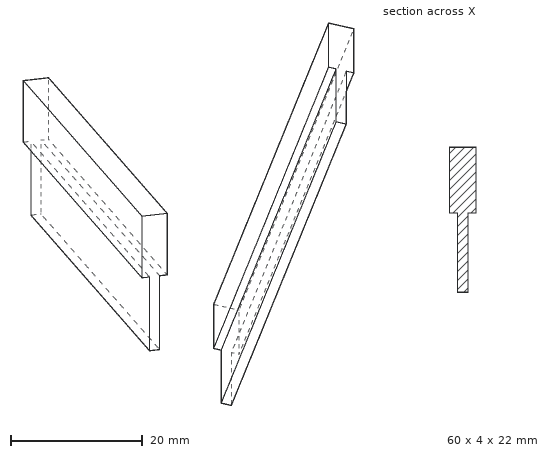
import cadquery as cq

length = 60.0
head_thickness = 4.0
head_height = 10.0
blade_thickness = 1.6
blade_height = 12.0

blade = cq.Workplane("XY").box(length, blade_thickness, blade_height, centered=(True, True, False))

head = (
    cq.Workplane("XY")
    .workplane(offset=blade_height)
    .box(length, head_thickness, head_height, centered=(True, True, False))
)

result = blade.union(head)